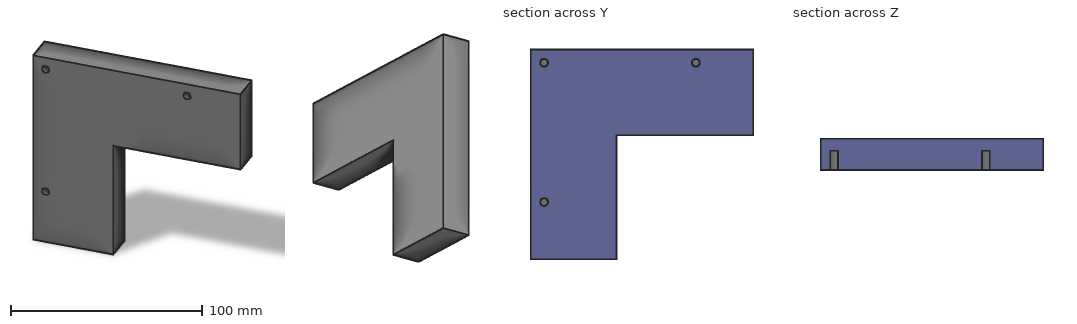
import cadquery as cq

length = 116.5
thickness = 16.4
height = 110.0
arm_width = 45.0

hole_diameter = 4.0
edge_distance = 7.0
hole_depth = 10.0
hole_spacing_x = 79.5
hole_spacing_z = 72.9


def l_plate():
    """L-shaped plate with its outer corner at the top left, front face at Y = 0."""
    outline = [
        (0, 0),
        (arm_width, 0),
        (arm_width, height - arm_width),
        (length, height - arm_width),
        (length, height),
        (0, height),
    ]
    return cq.Workplane("XZ").polyline(outline).close().extrude(-thickness)


def blind_holes():
    """Flat-bottomed cylinders, open at the front face: the corner hole and one hole in each arm."""
    corner_x = edge_distance
    corner_z = height - edge_distance
    centers = [
        (corner_x, corner_z),
        (corner_x + hole_spacing_x, corner_z),
        (corner_x, corner_z - hole_spacing_z),
    ]
    return cq.Workplane("XZ").pushPoints(centers).circle(hole_diameter / 2).extrude(-hole_depth)


result = l_plate().cut(blind_holes())